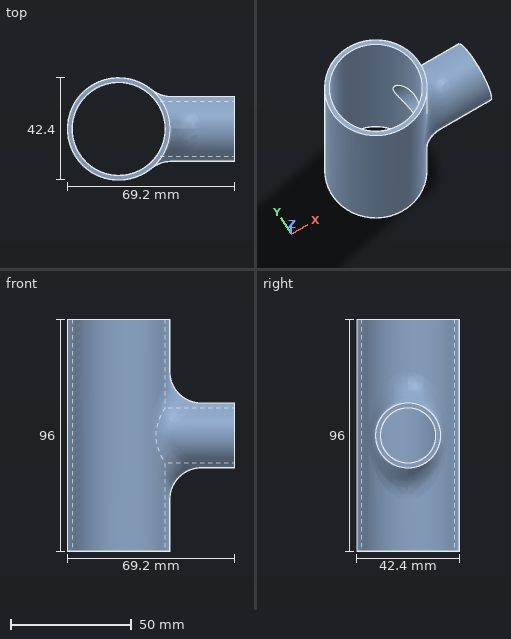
import cadquery as cq

run_length = 96.0
run_diameter = 42.4
wall = 2.0

branch_diameter = 26.9
branch_reach = 48.0
blend_radius = 13.0


def run_cylinder(diameter):
    return cq.Workplane("XY").circle(diameter / 2).extrude(run_length / 2, both=True)


def branch_cylinder(diameter):
    return cq.Workplane("YZ").circle(diameter / 2).extrude(branch_reach)


def blended_tee():
    """Solid tee with the saddle-shaped joint rounded off."""
    tee = run_cylinder(run_diameter).union(branch_cylinder(branch_diameter))
    run_radius = run_diameter / 2
    branch_radius = branch_diameter / 2
    margin = 1.0
    joint_zone = cq.selectors.BoxSelector(
        (0, -branch_radius - margin, -branch_radius - margin),
        (run_radius + margin, branch_radius + margin, branch_radius + margin),
        boundingbox=True,
    )
    return tee.edges(joint_zone).fillet(blend_radius)


run_bore = run_cylinder(run_diameter - 2 * wall)
branch_bore = branch_cylinder(branch_diameter - 2 * wall)
result = blended_tee().cut(run_bore).cut(branch_bore)